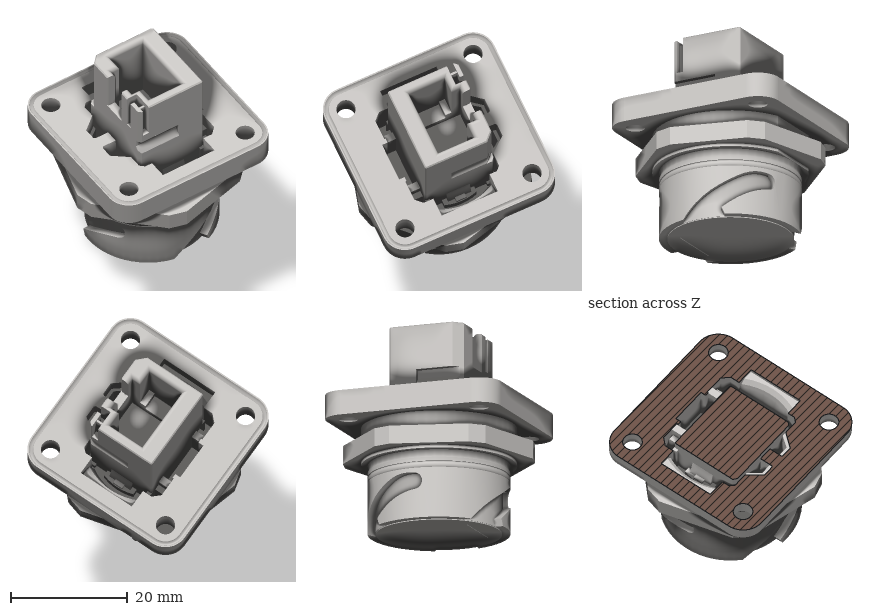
import cadquery as cq
import math


TOTAL_HEIGHT = 35.4
FLANGE_TOP = 22.95
FLANGE_BOTTOM = 18.63
NUT_TOP = 15.75
NUT_HEIGHT = 3.2
THREAD_BOTTOM = 12.07
COLLAR_TOP = 10.73
SEAL_TOP = 10.05
SEAL_BOTTOM = 8.95
END_LIP_HEIGHT = 0.15

OVERLAP = 0.35

FLANGE_SIDE = 31.95
FLANGE_CORNER = 3.95
HOLE_SPACING = 24.0
HOLE_DIAMETER = 3.3
GASKET_INSET = 0.65
GASKET_RADIUS = 0.42
GASKET_LIFT = 0.18

THREAD_RADIUS = 13.42
SPIGOT_RADIUS = 12.3
END_LIP_RADIUS = 10.85
NECK_TOP_RADIUS = 12.25
NECK_WAIST_RADIUS = 12.07
SEAL_EDGE_RADIUS = 12.07

NUT_ACROSS_FLATS = 30.03
NUT_ACROSS_CORNERS = 32.83
NUT_TURN = 14.5

GROOVE_COUNT = 3
FIRST_SEAT_ANGLE = 60.7
SEAT_HEIGHT = 6.65
GROOVE_HALF_WIDTH = 1.45
GROOVE_FLOOR_RADIUS = 10.95
GROOVE_MIDDLE = -30.0
GROOVE_UPPER_EDGE = [(-18.0, 7.85), (-30.0, 6.73), (-52.0, 4.07), (-73.5, 0.0)]
GROOVE_MOUTH_EDGE = [(-36.0, 0.0), (-39.0, 1.38)]
GROOVE_LOWER_EDGE = [(-30.0, 2.65), (-13.0, 4.5)]

RECESS_FLOOR = 14.87
SLOT_HALF_LENGTH = 12.55
SLOT_HALF_WIDTH = 5.3
SLOT_FLOOR = 20.2
BOWL_SHOULDER = 19.48
BOWL_TOP_RADIUS = 11.97
BOWL_SHOULDER_RADIUS = 11.22
BOWL_FLOOR_RADIUS = 9.95
RECESS_FRONT = -7.47
TONGUE_HALF_WIDTH = 1.17
LEDGE_HEIGHT = 20.55
LEDGE_DRAFT = 5.0
WELL_DRAFT = 3.0
GAP_HALF_WIDTH = 4.95
GAP_WIDTH = 0.2

CLIP_BASE_RADIUS = 9.3
CLIP_BASE_HALF_WIDTH = 3.05
CLIP_BASE_TOP = 16.3
CLIP_HALF_WIDTH = 2.2
CLIP_REACH = 8.45
CLIP_TOP = 18.4
NUB_HALF_WIDTH = 0.92
NUB_REACH = 9.15
NUB_TOP = 16.65
FOOT_REACH = 8.3
FOOT_TOP = 19.48
FRONT_FOOT_TOP = 15.95
RAIL_INNER = 4.3
RAIL_OUTER = 5.63
RAIL_TOP = 20.55
PAD_OUTER = 6.7
PAD_TOP = 19.12
RECESS_SHOULDER = 8.1
RECESS_BACK = 8.35

JACK_SIDE = 7.75
JACK_BACK = 6.15
JACK_FRONT = -7.0
JACK_EDGE = 0.2
JACK_LEFT_CHAMFER_X = 0.7
JACK_LEFT_CHAMFER_Y = 0.53
JACK_RIGHT_CHAMFER = 0.53
KEY_CUT = 1.52
KEY_CUT_BOTTOM = 24.6

CAVITY_SIDE = 5.95
CAVITY_BACK = 2.95
CAVITY_FRONT = -3.85
LATCH_LEFT = -3.15
LATCH_RIGHT = 3.22
LATCH_FRONT = -5.5
CAVITY_LIP_RADIUS = 0.75
RIM_MARGIN = 0.05
STEP_FLOOR = 24.8
STEP_EDGE = -2.73
SIDE_FLOOR = 23.37
LATCH_FLOOR = 21.95
WINDOW_LEFT = -2.2
WINDOW_RIGHT = 2.37
WINDOW_BOTTOM = 28.5
WINDOW_FLARE = 0.2

POCKET_LEFT = 4.0
POCKET_BACK = -5.03
POCKET_FRONT = -6.25
POCKET_FLOOR = 29.1
POST_LEFT = 5.05
POST_TOP = 35.02
PARTITION_LEFT = 6.13
PARTITION_RIGHT = 6.5
PARTITION_TOP = 34.52

NOTCH_DEPTH = 1.03
NOTCH_TOP = 27.55
NOTCH_BEND = 26.05
NOTCH_BOTTOM = 24.8
NOTCH_BACK = 1.25
NOTCH_LEFT_END = -6.48


def block(x0, x1, y0, y1, z0, z1):
    """Box given by its limits on each axis."""
    return cq.Workplane("XY").box(x1 - x0, y1 - y0, z1 - z0, centered=False).translate((x0, y0, z0))


def prism(points, z0, z1):
    """Vertical prism over a closed polygon."""
    return cq.Workplane("XY").workplane(offset=z0).polyline(points).close().extrude(z1 - z0)


def sunk_prism(points, z_top, z_bottom, draft):
    """Pocket shape that narrows downwards by a draft angle."""
    return cq.Workplane("XY", (0, 0, z_top)).polyline(points).close().extrude(z_bottom - z_top, taper=draft)


def turn_about_z(body, angle):
    return body.rotate((0, 0, 0), (0, 0, 1), angle)


def make_flange():
    half = FLANGE_SIDE / 2
    plate = block(-half, half, -half, half, FLANGE_BOTTOM, FLANGE_TOP).edges("|Z").fillet(FLANGE_CORNER)
    plate = plate.faces(">Z").workplane(origin=(0, 0, FLANGE_TOP))
    plate = plate.rect(HOLE_SPACING, HOLE_SPACING, forConstruction=True).vertices().hole(HOLE_DIAMETER)
    return plate.cut(make_gasket_groove())


def make_gasket_groove():
    """Round-bottomed groove that follows the flange outline."""
    z = FLANGE_TOP + GASKET_LIFT
    outer = FLANGE_SIDE / 2 - GASKET_INSET
    straight = FLANGE_SIDE / 2 - FLANGE_CORNER
    mid_arc = straight + (outer - straight) * math.sqrt(0.5)
    path = (
        cq.Workplane("XY", (0, 0, z)).moveTo(0, -outer)
        .lineTo(straight, -outer).threePointArc((mid_arc, -mid_arc), (outer, -straight))
        .lineTo(outer, straight).threePointArc((mid_arc, mid_arc), (straight, outer))
        .lineTo(-straight, outer).threePointArc((-mid_arc, mid_arc), (-outer, straight))
        .lineTo(-outer, -straight).threePointArc((-mid_arc, -mid_arc), (-straight, -outer))
        .close()
    )
    return cq.Workplane("YZ").center(-outer, z).circle(GASKET_RADIUS).sweep(path)


def make_barrel():
    """Turned body: thread, waisted neck, collar, rounded seal and spigot."""
    seal_middle = (SEAL_BOTTOM + SEAL_TOP) / 2
    neck_middle = (COLLAR_TOP + THREAD_BOTTOM) / 2
    barrel = (
        cq.Workplane("XZ").moveTo(0, 0)
        .lineTo(END_LIP_RADIUS, 0)
        .lineTo(END_LIP_RADIUS, END_LIP_HEIGHT)
        .lineTo(SPIGOT_RADIUS, END_LIP_HEIGHT)
        .lineTo(SPIGOT_RADIUS, SEAL_BOTTOM)
        .lineTo(SEAL_EDGE_RADIUS, SEAL_BOTTOM)
        .threePointArc((SPIGOT_RADIUS, seal_middle), (SEAL_EDGE_RADIUS, SEAL_TOP))
        .lineTo(SPIGOT_RADIUS, SEAL_TOP)
        .lineTo(SPIGOT_RADIUS, COLLAR_TOP)
        .threePointArc((NECK_WAIST_RADIUS, neck_middle), (NECK_TOP_RADIUS, THREAD_BOTTOM))
        .lineTo(THREAD_RADIUS, THREAD_BOTTOM)
        .lineTo(THREAD_RADIUS, FLANGE_BOTTOM)
        .lineTo(0, FLANGE_BOTTOM)
        .close().revolve(360, (0, 0, 0), (0, 1, 0))
    )
    return barrel.cut(
        block(-THREAD_RADIUS, THREAD_RADIUS, SPIGOT_RADIUS, THREAD_RADIUS, THREAD_BOTTOM, FLANGE_BOTTOM)
    )


def make_nut():
    """Hexagon nut whose corners are cut square to their diagonals."""
    base = cq.Workplane("XY", (0, 0, NUT_TOP - NUT_HEIGHT))
    hexagon = base.polygon(6, NUT_ACROSS_FLATS, circumscribed=True).extrude(NUT_HEIGHT)
    corner_cut = base.polygon(6, NUT_ACROSS_CORNERS, circumscribed=True).extrude(NUT_HEIGHT)
    return turn_about_z(hexagon.intersect(turn_about_z(corner_cut, 30)), NUT_TURN)


def make_groove_cutters():
    """Rising parallel-walled track, and the round seat at its end on the +X axis."""
    def spot(point):
        return (SPIGOT_RADIUS * math.sin(math.radians(point[0] - GROOVE_MIDDLE)), point[1])

    upper = [spot(p) for p in GROOVE_UPPER_EDGE]
    mouth = [spot(p) for p in GROOVE_MOUTH_EDGE]
    lower = [spot(p) for p in GROOVE_LOWER_EDGE + [(0, SEAT_HEIGHT - GROOVE_HALF_WIDTH)]]
    track = (
        cq.Workplane("YZ").moveTo(*spot((0, SEAT_HEIGHT + GROOVE_HALF_WIDTH)))
        .spline(upper, includeCurrent=True)
        .lineTo(*mouth[0]).lineTo(*mouth[1])
        .spline(lower, includeCurrent=True)
        .close().extrude(THREAD_RADIUS)
    )
    seat = cq.Workplane("YZ").center(0, SEAT_HEIGHT).circle(GROOVE_HALF_WIDTH).extrude(THREAD_RADIUS)
    core = cq.Workplane("XY").circle(GROOVE_FLOOR_RADIUS).extrude(FLANGE_BOTTOM)
    return [turn_about_z(track, GROOVE_MIDDLE).cut(core), seat.cut(core)]


def cut_bayonet_grooves(body):
    cutters = make_groove_cutters()
    for index in range(GROOVE_COUNT):
        for cutter in cutters:
            body = body.cut(turn_about_z(cutter, FIRST_SEAT_ANGLE + index * 360 / GROOVE_COUNT))
    return body


def cut_jack_opening(body):
    right_side = [
        (3.47, 9.15), (3.47, RECESS_SHOULDER), (RAIL_INNER, RECESS_SHOULDER), (RAIL_INNER, RECESS_BACK),
        (7.93, RECESS_BACK), (9.15, 7.08), (9.15, SLOT_HALF_WIDTH), (FOOT_REACH, SLOT_HALF_WIDTH),
        (FOOT_REACH, -SLOT_HALF_WIDTH), (9.15, -SLOT_HALF_WIDTH), (9.15, -6.7), (8.4, RECESS_FRONT),
    ]
    left_side = [(-x, y) for x, y in reversed(right_side)]
    return body.cut(prism(right_side + left_side, RECESS_FLOOR, FLANGE_TOP))


def cut_front_bays(body):
    """Two stepped bays on either side of the front tongue."""
    ledge = [
        (TONGUE_HALF_WIDTH, -7.25), (6.13, -7.25), (3.65, -10.3), (1.45, -10.3), (TONGUE_HALF_WIDTH, -10.02),
    ]
    well = [(TONGUE_HALF_WIDTH, -6.9), (5.4, -6.9), (3.4, -9.53), (TONGUE_HALF_WIDTH, -9.53)]
    for side in (-1, 1):
        ledge_points = [(side * x, y) for x, y in ledge]
        well_points = [(side * x, y) for x, y in well]
        body = body.cut(sunk_prism(ledge_points, FLANGE_TOP, LEDGE_HEIGHT, LEDGE_DRAFT))
        body = body.cut(sunk_prism(well_points, LEDGE_HEIGHT, RECESS_FLOOR, WELL_DRAFT))
    return body


def cut_side_slots(body):
    """Slot across the flange that drops into a tapered round bowl."""
    slot = block(
        -SLOT_HALF_LENGTH, SLOT_HALF_LENGTH, -SLOT_HALF_WIDTH, SLOT_HALF_WIDTH, RECESS_FLOOR, FLANGE_TOP
    )
    bowl = (
        cq.Workplane("XZ").moveTo(0, RECESS_FLOOR)
        .lineTo(BOWL_FLOOR_RADIUS, RECESS_FLOOR)
        .lineTo(BOWL_SHOULDER_RADIUS, BOWL_SHOULDER)
        .lineTo(BOWL_TOP_RADIUS, SLOT_FLOOR)
        .lineTo(FLANGE_SIDE, SLOT_FLOOR)
        .lineTo(FLANGE_SIDE, FLANGE_TOP)
        .lineTo(0, FLANGE_TOP)
        .close().revolve(360, (0, 0, 0), (0, 1, 0))
    )
    return body.cut(slot.intersect(bowl))


def make_supports():
    """Clips, feet and rails beside the jack, built on +X and mirrored."""
    inside = JACK_SIDE - OVERLAP
    base = cq.Workplane("XY", (0, 0, RECESS_FLOOR)).circle(CLIP_BASE_RADIUS)
    base = base.extrude(CLIP_BASE_TOP - RECESS_FLOOR)
    right = base.intersect(block(
        inside, CLIP_BASE_RADIUS, -CLIP_BASE_HALF_WIDTH, CLIP_BASE_HALF_WIDTH, RECESS_FLOOR, CLIP_BASE_TOP
    ))
    clip_profile = [
        (inside, RECESS_FLOOR), (CLIP_REACH, RECESS_FLOOR), (CLIP_REACH, CLIP_BASE_TOP),
        (JACK_SIDE, CLIP_TOP), (inside, CLIP_TOP),
    ]
    right = right.union(cq.Workplane("XZ").polyline(clip_profile).close().extrude(CLIP_HALF_WIDTH, both=True))
    bars = [
        (inside, NUB_REACH, -NUB_HALF_WIDTH, NUB_HALF_WIDTH, NUB_TOP),
        (inside, FOOT_REACH, SLOT_HALF_WIDTH, JACK_BACK, FOOT_TOP),
        (inside, FOOT_REACH, JACK_FRONT + JACK_LEFT_CHAMFER_Y, -SLOT_HALF_WIDTH, FRONT_FOOT_TOP),
        (RAIL_INNER, RAIL_OUTER, JACK_BACK - OVERLAP, RECESS_BACK, RAIL_TOP),
        (RAIL_OUTER, PAD_OUTER, JACK_BACK - OVERLAP, RECESS_SHOULDER, PAD_TOP),
    ]
    for x0, x1, y0, y1, top in bars:
        right = right.union(block(x0, x1, y0, y1, RECESS_FLOOR, top))
    return right.union(right.mirror("YZ"))


def make_jack_body():
    jack = block(-JACK_SIDE, JACK_SIDE, JACK_FRONT, JACK_BACK, RECESS_FLOOR, TOTAL_HEIGHT)
    jack = jack.edges("|Z and <Y and <X").chamfer(JACK_LEFT_CHAMFER_Y, JACK_LEFT_CHAMFER_X)
    jack = jack.edges("|Z and <Y and >X").chamfer(JACK_RIGHT_CHAMFER)
    key_corner = [
        (-JACK_SIDE, JACK_FRONT), (KEY_CUT - JACK_SIDE, JACK_FRONT), (-JACK_SIDE, JACK_FRONT + KEY_CUT),
    ]
    jack = jack.cut(prism(key_corner, KEY_CUT_BOTTOM, TOTAL_HEIGHT))
    jack = jack.edges("|Z and >Y").chamfer(JACK_EDGE)
    return jack.faces(">Z").edges().chamfer(JACK_EDGE)


def cut_plug_cavity(jack):
    outline = [
        (-CAVITY_SIDE, CAVITY_BACK), (-CAVITY_SIDE, CAVITY_FRONT), (LATCH_LEFT, CAVITY_FRONT),
        (LATCH_LEFT, LATCH_FRONT), (LATCH_RIGHT, LATCH_FRONT), (LATCH_RIGHT, CAVITY_FRONT),
        (CAVITY_SIDE, CAVITY_FRONT), (CAVITY_SIDE, CAVITY_BACK),
    ]
    jack = jack.cut(prism(outline, STEP_FLOOR, TOTAL_HEIGHT))
    rim = cq.selectors.BoxSelector(
        (-CAVITY_SIDE - RIM_MARGIN, LATCH_FRONT - RIM_MARGIN, TOTAL_HEIGHT - RIM_MARGIN),
        (CAVITY_SIDE + RIM_MARGIN, CAVITY_BACK + RIM_MARGIN, TOTAL_HEIGHT + RIM_MARGIN),
    )
    jack = jack.edges(rim).fillet(CAVITY_LIP_RADIUS)
    jack = jack.cut(block(-CAVITY_SIDE, CAVITY_SIDE, STEP_EDGE, CAVITY_BACK, SIDE_FLOOR, STEP_FLOOR))
    return jack.cut(block(LATCH_LEFT, LATCH_RIGHT, LATCH_FRONT, CAVITY_BACK, LATCH_FLOOR, STEP_FLOOR))


def cut_front_window(jack):
    """Window through the front wall, flared towards the outside."""
    narrow_left = WINDOW_LEFT + WINDOW_FLARE
    narrow_right = WINDOW_RIGHT - WINDOW_FLARE
    outline = [
        (WINDOW_LEFT, JACK_FRONT), (narrow_left, JACK_FRONT + WINDOW_FLARE), (narrow_left, LATCH_FRONT + OVERLAP),
        (narrow_right, LATCH_FRONT + OVERLAP), (narrow_right, JACK_FRONT + WINDOW_FLARE),
        (WINDOW_RIGHT, JACK_FRONT),
    ]
    return jack.cut(prism(outline, WINDOW_BOTTOM, TOTAL_HEIGHT))


def cut_latch_pocket(jack):
    """Corner pocket open to +X, split by a partition, behind a thin front post."""
    top = TOTAL_HEIGHT
    jack = jack.cut(block(POCKET_LEFT, PARTITION_LEFT, POCKET_FRONT, POCKET_BACK, POCKET_FLOOR, top))
    jack = jack.cut(block(PARTITION_RIGHT, JACK_SIDE, POCKET_FRONT, POCKET_BACK, POCKET_FLOOR, top))
    jack = jack.cut(block(POCKET_LEFT, POST_LEFT, JACK_FRONT, POCKET_BACK, POCKET_FLOOR, top))
    jack = jack.cut(block(PARTITION_LEFT, PARTITION_RIGHT, POCKET_FRONT, POCKET_BACK, PARTITION_TOP, top))
    return jack.cut(block(POST_LEFT, JACK_SIDE, JACK_FRONT, POCKET_FRONT, POST_TOP, top))


def cut_side_notches(jack):
    """Notches with a sloped lower side; the right one runs out through the front."""
    profile = [
        (JACK_SIDE - NOTCH_DEPTH, NOTCH_TOP), (JACK_SIDE, NOTCH_TOP),
        (JACK_SIDE, NOTCH_BOTTOM), (JACK_SIDE - NOTCH_DEPTH, NOTCH_BEND),
    ]
    for side, end in ((-1, NOTCH_LEFT_END), (1, JACK_FRONT)):
        points = [(side * x, z) for x, z in profile]
        notch = cq.Workplane("XZ", (0, NOTCH_BACK, 0)).polyline(points).close().extrude(NOTCH_BACK - end)
        jack = jack.cut(notch)
    return jack


def make_jack():
    jack = cut_plug_cavity(make_jack_body())
    jack = cut_latch_pocket(cut_front_window(jack))
    return cut_side_notches(jack)


housing = make_flange().union(make_barrel()).union(make_nut())
housing = cut_bayonet_grooves(housing)
housing = cut_side_slots(cut_front_bays(cut_jack_opening(housing)))
result = housing.union(make_supports()).union(make_jack())

front_gap = block(-GAP_HALF_WIDTH, GAP_HALF_WIDTH, JACK_FRONT - GAP_WIDTH, JACK_FRONT, 0, FLANGE_TOP)
result = result.cut(front_gap)